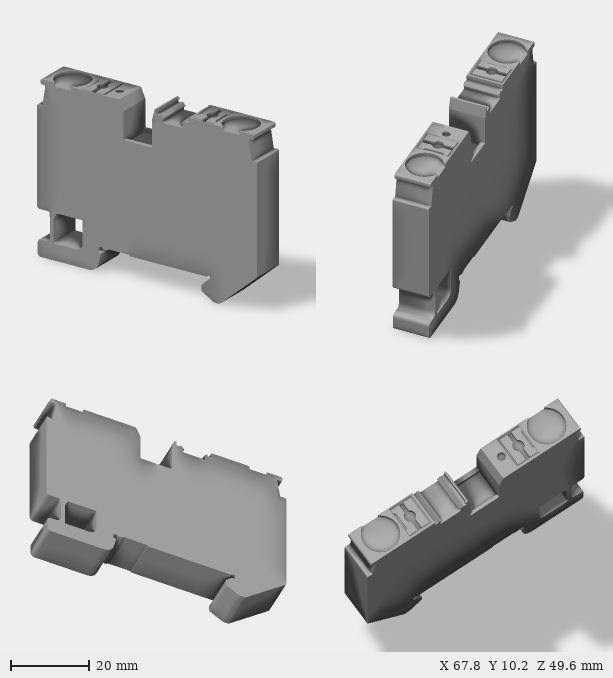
import cadquery as cq
LENGTH = 67.8
THICKNESS = 10.15
HEIGHT = 49.6
OVERSHOOT = 1.0
CORNER_REACH = 0.05

LIP_X = 1.1
LIP_UNDERSIDE_Z = 48.15
NECK_TOP_X = 2.65
NECK_BOTTOM_X = 1.65
SHOULDER_OUTER_Z = 42.4
SHOULDER_INNER_Z = 42.1
LIP_TOP_RADIUS = 0.5
SHOULDER_RADIUS = 0.4

SLOT_LEFT_X = 26.6
SLOT_RIGHT_X = 35.5
SLOT_FLOOR_Z = 38.65
SLOT_MOUTH_LEFT_X = 25.3
SLOT_MOUTH_RIGHT_X = 36.3
SLOT_BEND_Z = 46.6
SLOT_POCKET_Y = (1.3, 9.25)
SLOT_POCKET_DEPTH = 1.2

TAG_CENTRE_X = 41.72
TAG_MOUTH_HALF = 4.94
TAG_RIDGE_OUTER_HALF = 4.0
TAG_RIDGE_HALF = 3.65
TAG_TOOTH_HALF = 2.8
TAG_FLOOR_HALF = 3.18
TAG_LEDGE_Z = 48.1
TAG_RIDGE_Z = 48.6
TAG_TOOTH_TOP_Z = 47.65
TAG_TOOTH_BOTTOM_Z = 47.4
TAG_FLOOR_Z = 46.35
TAG_STOP_THICKNESS = 0.45
TAG_STOP_REACH = 0.5
TAG_STOP_TOP_REACH = 0.25
TAG_STOP_BOTTOM_Z = 49.0

BODY_BOTTOM_Z = 13.3
WEB_LEFT_X = 4.1
WEB_TOP_LEFT_X = 3.85
WEB_BEND_Z = 10.4
WEB_TOP_RADIUS = 0.3
WEB_ROOT_RADIUS = 1.5
FOOT_X = 0.25
FOOT_TOP_Z = 4.9
FOOT_RADIUS = 1.0
WINDOW_LEFT_X = 5.15
WINDOW_TOP_LEFT_X = 5.95
WINDOW_RIGHT_X = 14.05
WINDOW_BOTTOM_Z = 4.7
WINDOW_BEND_Z = 11.0
WINDOW_BEND_RADIUS = 1.5
WINDOW_TOP_RADIUS = 0.8
WINDOW_LEFT_RADIUS = 0.4
WINDOW_RIGHT_RADIUS = 2.0
TOE_BOTTOM_X = 18.4
TOE_TIP = (19.75, 5.35)
TOE_NOTCH = (18.9, 5.75)
TOE_RADIUS = 3.0

RAIL_SEAT_Z = 6.7
RAIL_RELIEF_Z = 7.1
SEAT_PAD_X = (20.2, 21.5)
SEAT_PAD_RAMP_X = 22.3
SEAT_X = (28.55, 52.2)
SEAT_RAMP_X = 52.6

HOOK_ROOT_X = 53.35
HOOK_THROAT_Z = 5.65
HOOK_THROAT_X = 52.4
HOOK_NOSE_X = 50.7
HOOK_NOSE_TOP_Z = 4.1
HOOK_NOSE_BOTTOM_Z = 2.3
HOOK_SOLE_X = (54.6, 56.2)
HOOK_BACK_Z = 10.1
HOOK_BACK_RADIUS = 0.6
HOOK_SOLE_RADIUS = 1.5
HOOK_NOSE_RADIUS = 0.9

RECESS_DEPTH = 1.05
SCREW_CENTRE = (7.97, 4.65)
SCREW_RADIUS = 5.05
SCREW_OPENING_WIDTH = 5.0
FRAME_X = (13.6, 20.67)
FRAME_Y = (0.25, 9.75)
FRAME_CHAMFER = 0.45
PLATE_X = (13.8, 20.0)
PLATE_Y = (0.85, 9.2)
NOTCH_INNER_X = 14.45
NOTCH_INNER_Y = (2.4, 7.25)
NOTCH_OUTER_Y = (1.9, 7.75)
KEY_CENTRE = (16.98, 4.94)
KEY_RADIUS = 1.55
KEY_SLOT_WIDTH = 1.3

TEST_CENTRE = (22.2, 4.94)
TEST_DIAMETER = 2.1
TEST_RIM_CHAMFER = 0.25


def mirror_x(points):
    """Mirror (x, z) points end for end, in reversed order."""
    return [(LENGTH - x, z) for x, z in reversed(points)]


def extrude_profile(points, y_start=0.0, y_end=THICKNESS):
    """Solid with an (x, z) outline between two Y positions."""
    plane = cq.Workplane("XZ", origin=(0, y_start, 0))
    return plane.polyline(points).close().extrude(y_start - y_end)


def box_between(x_range, y_range, z_range):
    """Axis-parallel box between pairs of limits."""
    sizes = [high - low for low, high in (x_range, y_range, z_range)]
    return cq.Workplane("XY").box(*sizes, centered=False).translate((x_range[0], y_range[0], z_range[0]))


def round_corner(body, corner, radius):
    """Round the edge that runs along Y through an (x, z) corner."""
    low = (corner[0] - CORNER_REACH, -OVERSHOOT, corner[1] - CORNER_REACH)
    high = (corner[0] + CORNER_REACH, THICKNESS + OVERSHOOT, corner[1] + CORNER_REACH)
    return body.edges("|Y").edges(cq.selectors.BoxSelector(low, high)).fillet(radius)


def tag_groove_points():
    """Marker groove outline from its left mouth to its right mouth."""
    left_half = [
        (-TAG_MOUTH_HALF, HEIGHT),
        (-TAG_MOUTH_HALF, TAG_LEDGE_Z),
        (-TAG_RIDGE_OUTER_HALF, TAG_LEDGE_Z),
        (-TAG_RIDGE_HALF, TAG_RIDGE_Z),
        (-TAG_TOOTH_HALF, TAG_TOOTH_TOP_Z),
        (-TAG_TOOTH_HALF, TAG_TOOTH_BOTTOM_Z),
        (-TAG_FLOOR_HALF, TAG_TOOTH_BOTTOM_Z),
        (-TAG_FLOOR_HALF, TAG_FLOOR_Z),
    ]
    right_half = [(-x, z) for x, z in reversed(left_half)]
    return [(TAG_CENTRE_X + x, z) for x, z in left_half + right_half]


def make_body():
    """Housing plate with the shoulders, slots, rail foot and rail hook."""
    left_end = [
        (0, SHOULDER_OUTER_Z),
        (NECK_BOTTOM_X, SHOULDER_INNER_Z),
        (NECK_TOP_X, LIP_UNDERSIDE_Z),
        (LIP_X, LIP_UNDERSIDE_Z),
        (LIP_X, HEIGHT),
    ]
    bridge_slot = [
        (SLOT_MOUTH_LEFT_X, HEIGHT),
        (SLOT_LEFT_X, SLOT_BEND_Z),
        (SLOT_LEFT_X, SLOT_FLOOR_Z),
        (SLOT_RIGHT_X, SLOT_FLOOR_Z),
        (SLOT_RIGHT_X, SLOT_BEND_Z),
        (SLOT_MOUTH_RIGHT_X, HEIGHT),
    ]
    hook = [
        (LENGTH, HOOK_BACK_Z),
        (HOOK_SOLE_X[1], 0),
        (HOOK_SOLE_X[0], 0),
        (HOOK_NOSE_X, HOOK_NOSE_BOTTOM_Z),
        (HOOK_NOSE_X, HOOK_NOSE_TOP_Z),
        (HOOK_THROAT_X, HOOK_THROAT_Z),
        (HOOK_ROOT_X, HOOK_THROAT_Z),
    ]
    rail_seat = [
        (HOOK_ROOT_X, RAIL_RELIEF_Z),
        (SEAT_RAMP_X, RAIL_RELIEF_Z),
        (SEAT_X[1], RAIL_SEAT_Z),
        (SEAT_X[0], RAIL_SEAT_Z),
        (SEAT_X[0], RAIL_RELIEF_Z),
        (SEAT_PAD_RAMP_X, RAIL_RELIEF_Z),
        (SEAT_PAD_X[1], RAIL_SEAT_Z),
        (SEAT_PAD_X[0], RAIL_SEAT_Z),
        (SEAT_PAD_X[0], RAIL_RELIEF_Z),
        (TOE_NOTCH[0], RAIL_RELIEF_Z),
    ]
    foot = [
        TOE_NOTCH,
        TOE_TIP,
        (TOE_BOTTOM_X, 0),
        (FOOT_X, 0),
        (FOOT_X, FOOT_TOP_Z),
        (WEB_LEFT_X, FOOT_TOP_Z),
        (WEB_LEFT_X, WEB_BEND_Z),
        (WEB_TOP_LEFT_X, BODY_BOTTOM_Z),
        (0, BODY_BOTTOM_Z),
    ]
    outline = left_end + bridge_slot + tag_groove_points() + mirror_x(left_end) + hook + rail_seat + foot
    body = extrude_profile(outline)
    rounded_corners = [
        ((0, BODY_BOTTOM_Z), FOOT_RADIUS),
        ((WEB_TOP_LEFT_X, BODY_BOTTOM_Z), WEB_TOP_RADIUS),
        ((WEB_LEFT_X, FOOT_TOP_Z), WEB_ROOT_RADIUS),
        ((FOOT_X, FOOT_TOP_Z), FOOT_RADIUS),
        ((FOOT_X, 0), FOOT_RADIUS),
        ((TOE_BOTTOM_X, 0), TOE_RADIUS),
        ((LENGTH, HOOK_BACK_Z), HOOK_BACK_RADIUS),
        ((HOOK_SOLE_X[1], 0), HOOK_SOLE_RADIUS),
        ((HOOK_SOLE_X[0], 0), HOOK_SOLE_RADIUS),
        ((HOOK_NOSE_X, HOOK_NOSE_BOTTOM_Z), HOOK_NOSE_RADIUS),
        ((HOOK_NOSE_X, HOOK_NOSE_TOP_Z), HOOK_NOSE_RADIUS),
    ]
    end_corners = [
        ((LIP_X, HEIGHT), LIP_TOP_RADIUS),
        ((LIP_X, LIP_UNDERSIDE_Z), SHOULDER_RADIUS),
        ((NECK_TOP_X, LIP_UNDERSIDE_Z), SHOULDER_RADIUS),
        ((0, SHOULDER_OUTER_Z), SHOULDER_RADIUS),
    ]
    for (x, z), radius in end_corners:
        rounded_corners += [((x, z), radius), ((LENGTH - x, z), radius)]
    for corner, radius in rounded_corners:
        body = round_corner(body, corner, radius)
    return body


def make_latch_window():
    """Opening through the rail foot behind its flexible web."""
    window = extrude_profile(
        [
            (WINDOW_LEFT_X, WINDOW_BOTTOM_Z),
            (WINDOW_RIGHT_X, WINDOW_BOTTOM_Z),
            (WINDOW_RIGHT_X, BODY_BOTTOM_Z),
            (WINDOW_TOP_LEFT_X, BODY_BOTTOM_Z),
            (WINDOW_LEFT_X, WINDOW_BEND_Z),
        ]
    )
    window = round_corner(window, (WINDOW_RIGHT_X, WINDOW_BOTTOM_Z), WINDOW_RIGHT_RADIUS)
    window = round_corner(window, (WINDOW_LEFT_X, WINDOW_BOTTOM_Z), WINDOW_LEFT_RADIUS)
    window = round_corner(window, (WINDOW_TOP_LEFT_X, BODY_BOTTOM_Z), WINDOW_TOP_RADIUS)
    return round_corner(window, (WINDOW_LEFT_X, WINDOW_BEND_Z), WINDOW_BEND_RADIUS)


def make_slot_pocket():
    """Shallow pocket sunk in the floor of the bridge slot."""
    z_range = (SLOT_FLOOR_Z - SLOT_POCKET_DEPTH, SLOT_FLOOR_Z)
    return box_between((SLOT_LEFT_X, SLOT_RIGHT_X), SLOT_POCKET_Y, z_range)


def make_tag_stop(side):
    """End stop at the rear of the marker groove; side is -1 (left) or +1 (right)."""
    stop = [
        (TAG_MOUTH_HALF, HEIGHT),
        (TAG_MOUTH_HALF - TAG_STOP_TOP_REACH, HEIGHT),
        (TAG_MOUTH_HALF - TAG_STOP_REACH, TAG_STOP_BOTTOM_Z),
        (TAG_MOUTH_HALF, TAG_STOP_BOTTOM_Z),
    ]
    points = [(TAG_CENTRE_X + side * x, z) for x, z in stop]
    return extrude_profile(points, THICKNESS - TAG_STOP_THICKNESS, THICKNESS)


def make_screw_recess():
    """Round screw recess that breaks out through the front face."""
    floor_z = HEIGHT - RECESS_DEPTH
    recess = cq.Workplane("XY", origin=(*SCREW_CENTRE, floor_z)).circle(SCREW_RADIUS).extrude(RECESS_DEPTH)
    half_opening = SCREW_OPENING_WIDTH / 2
    x_range = (SCREW_CENTRE[0] - half_opening, SCREW_CENTRE[0] + half_opening)
    opening = box_between(x_range, (-OVERSHOOT, SCREW_CENTRE[1]), (floor_z, HEIGHT))
    return recess.union(opening)


def make_plate():
    """Marking plate inside the frame, with its side notch."""
    floor_z = HEIGHT - RECESS_DEPTH
    plate = box_between(PLATE_X, PLATE_Y, (floor_z, HEIGHT))
    notch = (
        cq.Workplane("XY", origin=(0, 0, floor_z))
        .polyline(
            [
                (PLATE_X[0], NOTCH_OUTER_Y[0]),
                (NOTCH_INNER_X, NOTCH_INNER_Y[0]),
                (NOTCH_INNER_X, NOTCH_INNER_Y[1]),
                (PLATE_X[0], NOTCH_OUTER_Y[1]),
            ]
        )
        .close()
        .extrude(RECESS_DEPTH)
    )
    return plate.cut(notch)


def make_frame_recess():
    """Chamfered frame recess around the plate, plus the keyhole groove in the plate."""
    floor_z = HEIGHT - RECESS_DEPTH
    width = FRAME_X[1] - FRAME_X[0]
    depth = FRAME_Y[1] - FRAME_Y[0]
    centre = ((FRAME_X[0] + FRAME_X[1]) / 2, (FRAME_Y[0] + FRAME_Y[1]) / 2)
    frame = (
        cq.Workplane("XY", origin=(*centre, HEIGHT))
        .rect(width, depth)
        .workplane(offset=-FRAME_CHAMFER)
        .rect(width - 2 * FRAME_CHAMFER, depth - 2 * FRAME_CHAMFER)
        .loft(ruled=True)
    )
    key = cq.Workplane("XY", origin=(*KEY_CENTRE, floor_z)).circle(KEY_RADIUS).extrude(RECESS_DEPTH)
    half_slot = KEY_SLOT_WIDTH / 2
    slot_x = (KEY_CENTRE[0] - half_slot, KEY_CENTRE[0] + half_slot)
    slot = box_between(slot_x, PLATE_Y, (floor_z, HEIGHT))
    return frame.cut(make_plate()).union(key).union(slot)


def make_test_point():
    """Blind test hole with a countersunk rim."""
    hole = cq.Workplane("XY", origin=(*TEST_CENTRE, HEIGHT - RECESS_DEPTH))
    hole = hole.circle(TEST_DIAMETER / 2).extrude(RECESS_DEPTH)
    rim = cq.Workplane("XY", origin=(*TEST_CENTRE, HEIGHT)).circle(TEST_DIAMETER / 2 + TEST_RIM_CHAMFER)
    rim = rim.workplane(offset=-TEST_RIM_CHAMFER).circle(TEST_DIAMETER / 2).loft()
    return hole.union(rim)


result = make_body().cut(make_latch_window()).cut(make_slot_pocket())
for stop_side in (-1, 1):
    result = result.union(make_tag_stop(stop_side))
for recess in (make_screw_recess(), make_frame_recess()):
    result = result.cut(recess)
    result = result.cut(recess.mirror("YZ", (LENGTH / 2, 0, 0)))
result = result.cut(make_test_point())